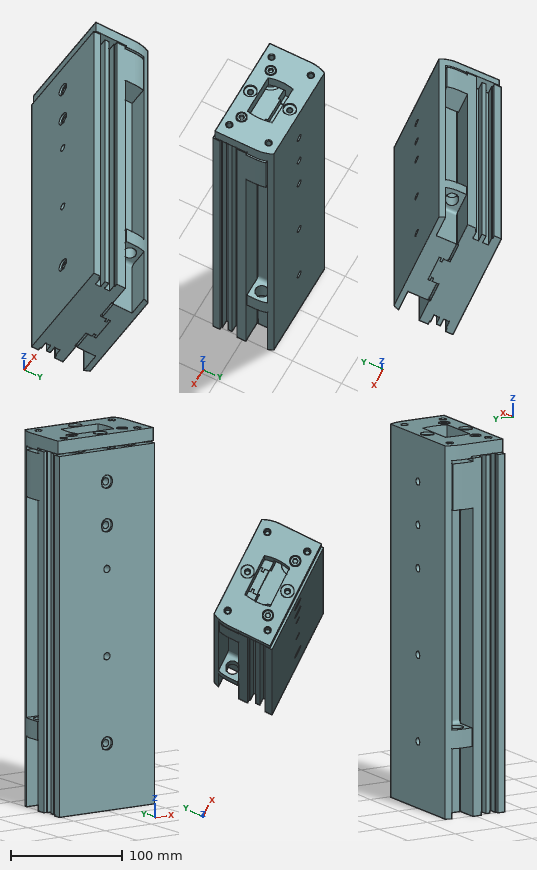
import cadquery as cq
import math

WIDTH = 104.0
DEPTH = 60.0
HEIGHT = 345.0
HALF_WIDTH = WIDTH / 2

END_PLATE_BOTTOM = 333.0
END_PLATE_FRONT = 2.0
SKIRT_BOTTOM = 331.2
BACK_WALL_INNER = 54.5
CORE_FRONT = 34.5
CORE_HALF_WIDTH = 30.5
ROUND_START = 43.8
ROUND_INSET = 3.8
EAR_BOTTOM = 65.0
EAR_TOP = 82.0
EAR_FILLET = 3.5
OVERRUN = 7.0
EAR_HOLE_DIAMETER = 12.0
EAR_HOLE_X = 42.0
EAR_HOLE_Y = 44.5

WINDOW_FRONT = 18.0
WINDOW_BACK = 43.0
WINDOW_CORNER_X = 19.5
WINDOW_MIDDLE_X = 21.5
WINDOW_DEPTH = 20.0
WINDOW_FLOOR = HEIGHT - WINDOW_DEPTH

PLATE_HOLE_PITCH = 40.0
PLATE_HOLE_FRONT = 10.5
TAP_DIAMETER = 5.0
CORNER_MOUTH_DIAMETER = 6.5
MIDDLE_MOUTH_DIAMETER = 5.5
TAP_DEPTH = 11.0
SLEEVE_DIAMETER = 12.0
SLEEVE_DEPTH = 2.0

STOP_X = 27.5
STOP_Y = 16.2
STOP_RECESS_DIAMETER = 10.0
STOP_HEAD_DIAMETER = 8.5
STOP_RECESS_DEPTH = 1.7
STOP_SOCKET_WIDTH = 5.0
STOP_SOCKET_DEPTH = 3.5
STOP_STEM_DIAMETER = 12.8
STOP_STEM_LENGTH = 7.0

PAD_DIAMETER = 12.8
PAD_X = 7.5
PAD_Y = END_PLATE_FRONT + PAD_DIAMETER / 2
PAD_HEIGHT = 1.5

BASE_HEIGHT = SKIRT_BOTTOM
FLANGE_BACK = 33.5
CHANNEL_BACK = 32.5
SIDE_RECESS_FRONT = 7.2
SIDE_RECESS_BACK = 24.5
SIDE_RECESS_DEPTH = 3.0
RIB_FRONT = 13.8
RIB_BACK = 18.0
GROOVE_STEP = 1.0
GROOVE_DEPTH = 10.5

RAIL_HALF_WIDTH = 12.0
RAIL_BACK = WINDOW_BACK
NOTCH_FRONT = 39.0
NOTCH_BACK = 41.0
NOTCH_INNER_X = 9.0
RAIL_END_GAP = 1.0
RAIL_TOP = WINDOW_FLOOR - RAIL_END_GAP

HEAD_BOTTOM = 285.0
HEAD_TOP = 328.0
HEAD_BACK = 53.5
HEAD_INNER_X = 32.0

POCKET_DIAMETER = 25.0
POCKET_DEPTH = 12.0

MOUNT_HOLE_DIAMETER = 6.5
MOUNT_LOWEST_Z = 61.8
MOUNT_PITCH = 40.0
SLEEVE_STEPS = (0, 5, 6)
PLAIN_STEPS = (2, 4)


def box(x0, x1, y0, y1, z0, z1):
    """Box between two opposite corners."""
    return cq.Workplane("XY").box(x1 - x0, y1 - y0, z1 - z0, centered=False).translate((x0, y0, z0))


def rod(diameter, x, y, z_bottom, z_top):
    """Vertical cylinder."""
    return cq.Workplane("XY", origin=(x, y, z_bottom)).circle(diameter / 2).extrude(z_top - z_bottom)


def cross_rod(diameter, z, y_end):
    """Cylinder on the centre line running from the mounting face back to y_end."""
    return cq.Workplane("XZ", origin=(0, 0, z)).circle(diameter / 2).extrude(-y_end)


def rounded_outline(z_bottom, z_top):
    """Solid of the full section with its two back corners rounded off by long arcs."""
    radius = ((DEPTH - ROUND_START) ** 2 + ROUND_INSET ** 2) / (2 * ROUND_INSET)
    half_angle = math.asin((DEPTH - ROUND_START) / radius) / 2
    mid_x = HALF_WIDTH - radius * (1 - math.cos(half_angle))
    mid_y = ROUND_START + radius * math.sin(half_angle)
    back_x = HALF_WIDTH - ROUND_INSET
    return (
        cq.Workplane("XY", origin=(0, 0, z_bottom))
        .moveTo(-HALF_WIDTH, 0)
        .lineTo(HALF_WIDTH, 0)
        .lineTo(HALF_WIDTH, ROUND_START)
        .threePointArc((mid_x, mid_y), (back_x, DEPTH))
        .lineTo(-back_x, DEPTH)
        .threePointArc((-mid_x, mid_y), (-HALF_WIDTH, ROUND_START))
        .close()
        .extrude(z_top - z_bottom)
    )


def window_cutter():
    """Opening in the end plate whose two ends bow outward."""
    mid_y = (WINDOW_FRONT + WINDOW_BACK) / 2
    return (
        cq.Workplane("XY", origin=(0, 0, WINDOW_FLOOR))
        .moveTo(-WINDOW_CORNER_X, WINDOW_FRONT)
        .lineTo(WINDOW_CORNER_X, WINDOW_FRONT)
        .threePointArc((WINDOW_MIDDLE_X, mid_y), (WINDOW_CORNER_X, WINDOW_BACK))
        .lineTo(-WINDOW_CORNER_X, WINDOW_BACK)
        .threePointArc((-WINDOW_MIDDLE_X, mid_y), (-WINDOW_CORNER_X, WINDOW_FRONT))
        .close()
        .extrude(WINDOW_DEPTH)
    )


def side_space(side, z_bottom, z_top):
    """Open space beside the carriage core, with fillets where the core meets its ends."""
    x0, x1 = sorted((side * CORE_HALF_WIDTH, side * (HALF_WIDTH + OVERRUN)))
    space = box(x0, x1, CORE_FRONT, BACK_WALL_INNER, z_bottom, z_top)
    inner_face = "<X" if side > 0 else ">X"
    return space.faces(inner_face).edges("|Y").fillet(EAR_FILLET)


def tapped_hole(mouth_diameter, x, y, z_top):
    """Blind hole in the end plate with a 45 degree countersunk mouth at z_top."""
    chamfer = (mouth_diameter - TAP_DIAMETER) / 2
    mouth = cq.Workplane("XY", origin=(x, y, z_top)).circle(mouth_diameter / 2).extrude(-chamfer, taper=45)
    return rod(TAP_DIAMETER, x, y, HEIGHT - TAP_DEPTH, z_top).union(mouth)


def mount_hole_z(step):
    """Height of the mounting hole that lies the given number of pitches above the lowest."""
    return MOUNT_LOWEST_Z + step * MOUNT_PITCH


def mounting_holes():
    """Cross holes that run through both bodies."""
    holes = cq.Workplane("XY")
    for step in SLEEVE_STEPS + PLAIN_STEPS:
        holes = holes.add(cross_rod(MOUNT_HOLE_DIAMETER, mount_hole_z(step), DEPTH))
    return holes.combine()


def rail(z_top):
    """Guide rail section with a notch in each flank, also used to cut its groove in the carriage."""
    bar = box(-RAIL_HALF_WIDTH, RAIL_HALF_WIDTH, CORE_FRONT, RAIL_BACK, 0, z_top)
    for x0, x1 in ((NOTCH_INNER_X, RAIL_HALF_WIDTH), (-RAIL_HALF_WIDTH, -NOTCH_INNER_X)):
        bar = bar.cut(box(x0, x1, NOTCH_FRONT, NOTCH_BACK, 0, z_top))
    return bar


def make_carriage():
    body = rounded_outline(0, HEIGHT)
    body = body.cut(box(-HALF_WIDTH, HALF_WIDTH, 0, END_PLATE_FRONT, 0, HEIGHT))
    body = body.cut(box(-HALF_WIDTH, HALF_WIDTH, 0, CORE_FRONT, 0, END_PLATE_BOTTOM))

    for side in (-1, 1):
        body = body.cut(side_space(side, EAR_TOP, SKIRT_BOTTOM))
        body = body.cut(side_space(side, -OVERRUN, EAR_BOTTOM))
        body = body.cut(rod(EAR_HOLE_DIAMETER, side * EAR_HOLE_X, EAR_HOLE_Y, EAR_BOTTOM, EAR_TOP))

    body = body.cut(window_cutter())
    body = body.cut(rail(WINDOW_FLOOR))

    for y in (PLATE_HOLE_FRONT, PLATE_HOLE_FRONT + PLATE_HOLE_PITCH):
        for x in (-PLATE_HOLE_PITCH, PLATE_HOLE_PITCH):
            body = body.cut(tapped_hole(CORNER_MOUTH_DIAMETER, x, y, HEIGHT))
        sleeve_floor = HEIGHT - SLEEVE_DEPTH
        body = body.cut(rod(SLEEVE_DIAMETER, 0, y, sleeve_floor, HEIGHT))
        body = body.cut(tapped_hole(MIDDLE_MOUTH_DIAMETER, 0, y, sleeve_floor))

    recess_floor = HEIGHT - STOP_RECESS_DEPTH
    stem_bottom = END_PLATE_BOTTOM - STOP_STEM_LENGTH
    for x in (-STOP_X, STOP_X):
        body = body.cut(rod(STOP_RECESS_DIAMETER, x, STOP_Y, recess_floor, HEIGHT))
        body = body.union(rod(STOP_HEAD_DIAMETER, x, STOP_Y, recess_floor, HEIGHT))
        socket = (
            cq.Workplane("XY", origin=(x, STOP_Y, HEIGHT - STOP_SOCKET_DEPTH))
            .polygon(6, STOP_SOCKET_WIDTH)
            .extrude(STOP_SOCKET_DEPTH)
        )
        body = body.cut(socket)
        body = body.union(rod(STOP_STEM_DIAMETER, x, STOP_Y, stem_bottom, END_PLATE_BOTTOM))

    body = body.union(rod(PAD_DIAMETER, PAD_X, PAD_Y, END_PLATE_BOTTOM - PAD_HEIGHT, END_PLATE_BOTTOM))
    return body.cut(mounting_holes())


def make_base():
    body = box(-HALF_WIDTH, HALF_WIDTH, 0, FLANGE_BACK, 0, BASE_HEIGHT)

    body = body.cut(box(-CORE_HALF_WIDTH, CORE_HALF_WIDTH, CHANNEL_BACK, FLANGE_BACK, 0, BASE_HEIGHT))

    for side in (-1, 1):
        grooves = (
            (SIDE_RECESS_FRONT, SIDE_RECESS_BACK, SIDE_RECESS_DEPTH),
            (SIDE_RECESS_FRONT + GROOVE_STEP, RIB_FRONT, GROOVE_DEPTH),
            (RIB_BACK, SIDE_RECESS_BACK - GROOVE_STEP, GROOVE_DEPTH),
        )
        for y0, y1, depth in grooves:
            x0, x1 = sorted((side * (HALF_WIDTH - depth), side * HALF_WIDTH))
            body = body.cut(box(x0, x1, y0, y1, 0, BASE_HEIGHT))

        x0, x1 = sorted((side * HEAD_INNER_X, side * HALF_WIDTH))
        block = box(x0, x1, FLANGE_BACK, HEAD_BACK, HEAD_BOTTOM, HEAD_TOP)
        body = body.union(block.intersect(rounded_outline(HEAD_BOTTOM, HEAD_TOP)))
        body = body.cut(rod(POCKET_DIAMETER, side * STOP_X, STOP_Y, BASE_HEIGHT - POCKET_DEPTH, BASE_HEIGHT))

    body = body.union(box(-RAIL_HALF_WIDTH, RAIL_HALF_WIDTH, CHANNEL_BACK, CORE_FRONT, 0, BASE_HEIGHT))
    body = body.union(rail(RAIL_TOP))
    body = body.cut(mounting_holes())
    for step in SLEEVE_STEPS:
        body = body.cut(cross_rod(SLEEVE_DIAMETER, mount_hole_z(step), SLEEVE_DEPTH))
    return body


carriage = make_carriage()
base = make_base()

result = cq.Compound.makeCompound([carriage.solids().val(), base.solids().val()])